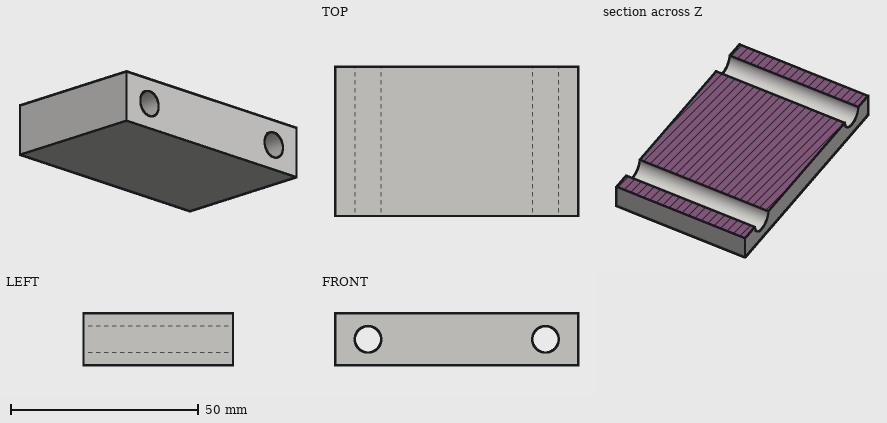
import cadquery as cq

length = 65.0
width = 40.0
height = 14.0

hole_diameter = 7.0
hole_spacing = 47.45

block = cq.Workplane("XY").box(length, width, height)

result = (
    block.faces("<Y")
    .workplane(centerOption="CenterOfMass")
    .pushPoints([(-hole_spacing / 2, 0), (hole_spacing / 2, 0)])
    .hole(hole_diameter)
)